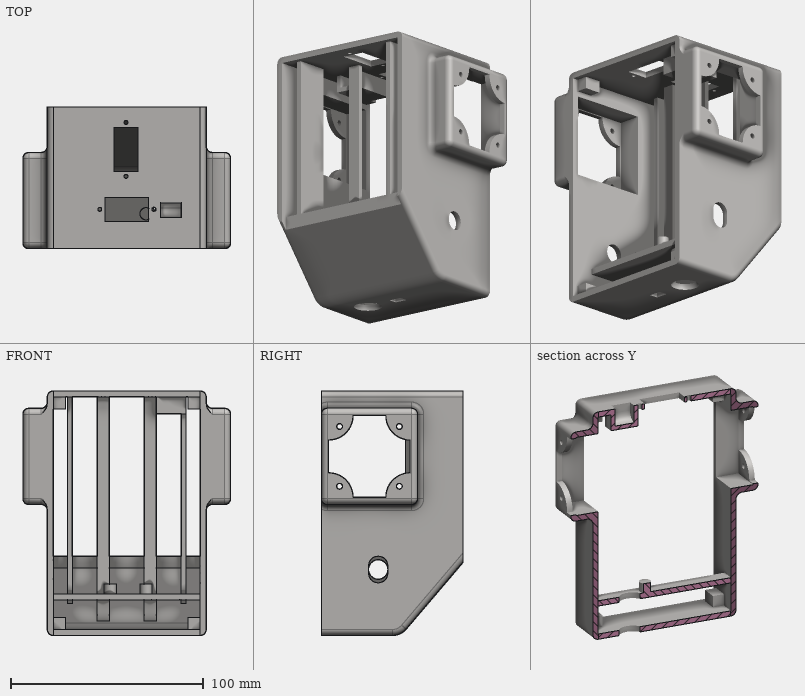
import cadquery as cq
import math

height = 127.0
depth = 73.66
inner_width = 76.2
wall = 3.175
inner_half = inner_width / 2
outer_half = inner_half + wall
front_y = -depth / 2
back_y = depth / 2
ceiling_z = height - wall

slope_top_z = 38.1
slope_foot_y = 4.445
bend_radius = 9.525
slope_angle = math.atan2(slope_top_z, back_y - slope_foot_y)
inner_foot_y = slope_foot_y - wall * math.tan(slope_angle / 2)
inner_slope_top_z = wall + (back_y - inner_foot_y) * math.tan(slope_angle)

lid_recess = 3.175
lip_thickness = 3.625
lip_top_z = 41.275
lip_back_y = back_y - lid_recess
lip_front_y = lip_back_y - lip_thickness

fin_width = 2.54
fin_front_y = 14.4
fin_offset = 29.5
bar_width = 6.35
bar_thickness = 2.54
bar_front_y = 6.8
bar_offset = 12.2

block_size = 6.35
block_depth = 9.525

pod_reach = 12.69
pod_size = 50.0
pod_edge_radius = 3.175
pod_center_y = front_y + pod_size / 2
pod_center_z = 93.0
pod_cavity_depth = 12.7
pod_cavity_size = 43.3
motor_window = 42.3
motor_pad_radius = 12.7
motor_hole_spacing = 31.0
motor_hole_diameter = 2.86

side_hole_diameter = 10.0
side_slot_length = 13.8
side_hole_y = -7.3
side_hole_z = 34.3

servo_length = 22.8
servo_width = 12.4
servo_screw_spacing = 28.0
servo_screw_diameter = 2.0
front_servo_center = (0.0, -16.4)
back_servo_center = (-0.4, 14.7)
cable_length = 10.6
cable_width = 7.6
cable_center = (22.9, -16.9)

duct_left = 15.2
duct_right = 30.77
duct_bottom = 115.0
duct_wall = 2.38
duct_bend_radius = 5.08
duct_back_y = 0.0

shelf_bottom_z = 18.5
shelf_top_z = shelf_bottom_z + wall
shelf_front_y = -23.5
shelf_depth = 22.86
peg_diameter = 6.35
peg_height = 5.08
peg_centers = [(10.0, -18.7), (-8.6, -4.7)]
shaft_hole_diameter = 14.5
shaft_hole_center = (20.0, -12.2)
floor_slot_center = (0.1, -12.2)
floor_slot_length = 7.0
floor_slot_width = 5.0


def block(x0, x1, y0, y1, z0, z1):
    """Box between two opposite corners."""
    return cq.Workplane("XY").box(x1 - x0, y1 - y0, z1 - z0, centered=False).translate((x0, y0, z0))


def bent_prism(points, bend_point, half_width):
    """YZ outline extruded across the width, with one corner rounded to the bend radius."""
    prism = cq.Workplane("YZ").polyline(points).close().extrude(half_width, both=True)
    bend_edge = cq.NearestToPointSelector((0, *bend_point))
    return prism.edges(bend_edge).fillet(bend_radius)


def outer_profile(half_width):
    foot = (slope_foot_y, 0)
    points = [(front_y, 0), foot, (back_y, slope_top_z), (back_y, height), (front_y, height)]
    return bent_prism(points, foot, half_width)


def inner_profile(half_width):
    foot = (inner_foot_y, wall)
    points = [
        (front_y, wall),
        foot,
        (back_y, inner_slope_top_z),
        (back_y, ceiling_z),
        (front_y, ceiling_z),
    ]
    return bent_prism(points, foot, half_width)


def lip():
    return block(-inner_half, inner_half, lip_front_y, lip_back_y, wall, lip_top_z)


def uprights():
    """Fins and bars between the roof and the slope, as a list."""
    fin = block(-fin_width / 2, fin_width / 2, fin_front_y, lip_back_y, wall, ceiling_z)
    bar_back_y = bar_front_y + bar_thickness
    bar = block(-bar_width / 2, bar_width / 2, bar_front_y, bar_back_y, wall, ceiling_z)
    places = [(fin, fin_offset), (bar, bar_offset)]
    return [shape.translate((side * offset, 0, 0)) for shape, offset in places for side in (-1, 1)]


def corner_blocks():
    y0 = front_y + lid_recess
    return [
        block(x0, x0 + block_size, y0, y0 + block_depth, z0, z0 + block_size)
        for x0 in (-inner_half, inner_half - block_size)
        for z0 in (wall, ceiling_z - block_size)
    ]


def cable_duct():
    """Open-backed duct whose floor curves up into its front wall."""
    front = cable_center[1] - cable_width / 2
    body = block(duct_left, duct_right, front - duct_wall, duct_back_y, duct_bottom, ceiling_z)
    passage = block(
        duct_left + duct_wall,
        duct_right - duct_wall,
        front,
        duct_back_y,
        duct_bottom + duct_wall,
        ceiling_z,
    )
    return body.cut(passage.edges("|X and <Y and <Z").fillet(duct_bend_radius))


def servo_opening(center, angle):
    """Servo window with a screw hole beyond each end."""
    window = cq.Workplane("XY").rect(servo_length, servo_width).extrude(wall)
    screw_x = servo_screw_spacing / 2
    screws = cq.Workplane("XY").pushPoints([(-screw_x, 0), (screw_x, 0)])
    screws = screws.circle(servo_screw_diameter / 2).extrude(wall)
    opening = window.union(screws).rotate((0, 0, 0), (0, 0, 1), angle)
    return opening.translate((*center, ceiling_z))


def rectangular_opening(center, length, width, bottom_z):
    return cq.Workplane("XY", origin=(*center, bottom_z)).rect(length, width).extrude(wall)


def shaft_hole(bottom_z):
    hole = cq.Workplane("XY", origin=(*shaft_hole_center, bottom_z))
    return hole.circle(shaft_hole_diameter / 2).extrude(wall)


def make_center_frame():
    outline = outer_profile(inner_half)
    frame = outline.cut(inner_profile(inner_half))
    frame = frame.cut(block(-inner_half, inner_half, lip_back_y, back_y, 0, ceiling_z))
    frame = frame.cut(block(-inner_half, inner_half, lip_front_y, back_y, lip_top_z, ceiling_z))
    for added in [lip(), *uprights(), *corner_blocks(), cable_duct()]:
        frame = frame.union(added.intersect(outline))
    frame = frame.cut(servo_opening(front_servo_center, 0))
    frame = frame.cut(servo_opening(back_servo_center, 90))
    frame = frame.cut(rectangular_opening(cable_center, cable_length, cable_width, ceiling_z))
    frame = frame.cut(rectangular_opening(floor_slot_center, floor_slot_length, floor_slot_width, 0))
    return frame.cut(shaft_hole(0))


def panel_plate():
    """Flat panel with its outer edges rounded, except along the front and the back."""
    plate = outer_profile(outer_half).faces(">X").edges("not(<Y or >Y)").fillet(wall)
    return plate.intersect(block(inner_half, outer_half, front_y, back_y, 0, height))


def pod_shell():
    """Rounded pod with a concave fillet at its foot, trimmed flush with the panel front."""
    tip = outer_half + pod_reach
    pod = cq.Workplane("XY").box(2 * tip, pod_size, pod_size).edges().fillet(pod_edge_radius)
    pod = pod.translate((0, pod_center_y, pod_center_z))
    pod = pod.intersect(block(inner_half, tip, front_y, back_y, 0, height))
    ground = block(inner_half, outer_half, front_y - pod_size, back_y, 0, height)
    reach = pod_size / 2 + pod_edge_radius
    foot_edges = cq.selectors.BoxSelector(
        (outer_half - wall / 2, pod_center_y - reach, pod_center_z - reach),
        (outer_half + wall / 2, pod_center_y + reach, pod_center_z + reach),
    )
    flared = ground.union(pod).edges(foot_edges).fillet(pod_edge_radius)
    return flared.intersect(block(outer_half, tip, front_y, back_y, 0, height))


def pod_openings():
    """Cavity, motor window with a rounded pad left in each corner, and the pad holes."""
    half = pod_cavity_size / 2
    plate_x = inner_half + pod_cavity_depth
    cavity = block(
        inner_half,
        plate_x,
        pod_center_y - half,
        pod_center_y + half,
        pod_center_z - half,
        pod_center_z + half,
    )
    plate = cq.Workplane("YZ", origin=(plate_x, pod_center_y, pod_center_z))
    window = plate.rect(motor_window, motor_window).extrude(pod_reach)
    pads = plate.rect(motor_window, motor_window, forConstruction=True).vertices()
    pads = pads.circle(motor_pad_radius).extrude(pod_reach)
    holes = plate.rect(motor_hole_spacing, motor_hole_spacing, forConstruction=True).vertices()
    holes = holes.circle(motor_hole_diameter / 2).extrude(pod_reach)
    return [cavity, window.cut(pads), holes]


def make_panel_blank():
    panel = panel_plate().union(pod_shell())
    for opening in pod_openings():
        panel = panel.cut(opening)
    return panel


side_hole_plane = cq.Workplane("YZ", origin=(inner_half, side_hole_y, side_hole_z))
round_hole = side_hole_plane.circle(side_hole_diameter / 2).extrude(wall)
upright_slot = side_hole_plane.slot2D(side_slot_length, side_hole_diameter, 90).extrude(wall)


def make_shelf():
    back = shelf_front_y + shelf_depth
    shelf = block(-inner_half, inner_half, shelf_front_y, back, shelf_bottom_z, shelf_top_z)
    pegs = cq.Workplane("XY", origin=(0, 0, shelf_top_z)).pushPoints(peg_centers)
    shelf = shelf.union(pegs.circle(peg_diameter / 2).extrude(peg_height))
    return shelf.cut(shaft_hole(shelf_bottom_z))


center_frame = make_center_frame()
panel_blank = make_panel_blank()
right_panel = panel_blank.cut(upright_slot)
left_panel = panel_blank.cut(round_hole).mirror("YZ")
shelf = make_shelf()

result = cq.Compound.makeCompound(
    [center_frame.val(), right_panel.val(), left_panel.val(), shelf.val()]
)